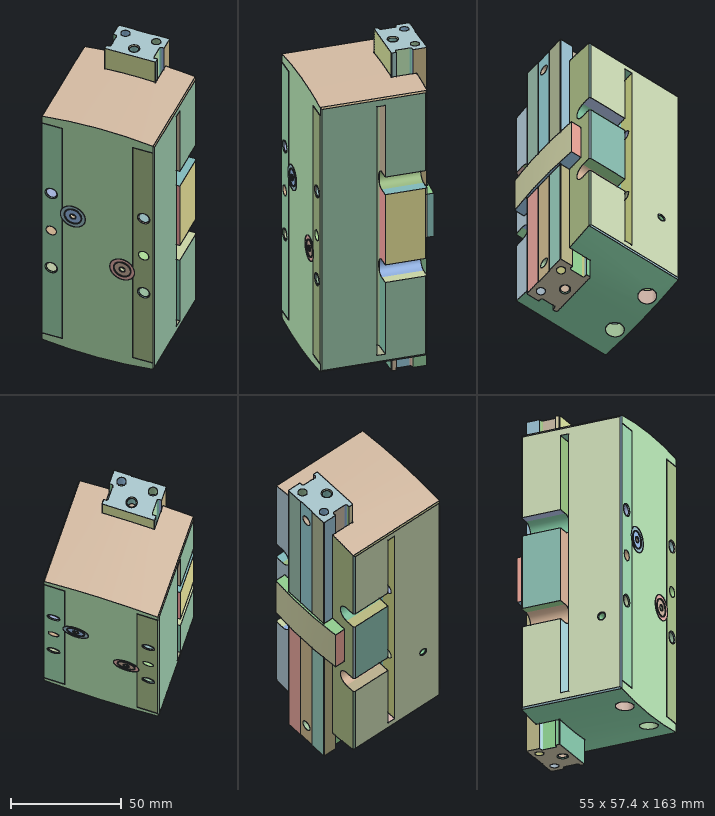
import cadquery as cq
import math


housing_width = 55.0
housing_height = 51.0
housing_length = 139.2
end_radius = 200.0
chamfer_angle = 30.0
chamfer_width = 0.5
chamfer_length = chamfer_width / math.tan(math.radians(chamfer_angle))

strip_inner_x = 17.2
strip_length = 127.4
strip_height = 0.15

groove_width = 4.0
groove_y = 29.0
groove_depth = 10.0

mount_x = 22.5
mount_z = 22.5
screw_dia = 5.1
screw_chamfer = 0.45
screw_slot_width = 9.0
screw_slot_floor_y = groove_y + groove_width / 2
dowel_dia = 5.0
dowel_depth = 10.0
drill_tip_angle = 118.0

side_hole_dia = 3.24
side_hole_mouth_dia = 4.0
side_hole_y = 10.2
side_hole_z = -30.0
side_hole_depth = 8.0

end_port_dia = 8.5
end_port_x = 12.0
end_port_y = 6.4
end_port_depth = 10.0

plug_dia = 12.1
plug_thickness = 3.0
plug_x = 12.0
plug_z = 12.0
plug_ring_outer_dia = 8.5
plug_ring_inner_dia = 8.0
plug_ring_depth = 0.3
plug_port_dia = 2.46
plug_port_mouth_dia = 3.0
plug_port_depth = 2.0

jaw_width = 25.0
jaw_bottom_y = 39.0
jaw_top_y = 56.1
jaw_end_z = 81.5
jaw_gap = 1.0
jaw_length = jaw_end_z - jaw_gap / 2
jaw_corner_chamfer = 0.3
jaw_relief_width = 8.0
jaw_relief_depth = 0.2
jaw_slot_low_y = 41.3
jaw_slot_high_y = 49.2
jaw_slot_depth = 2.0
jaw_slot_fillet = 0.8
finger_hole_dia = 4.13
finger_hole_x = 7.5
finger_hole_y = 51.9
finger_hole_depth = 10.0
centre_hole_dia = 4.13
centre_hole_mouth_dia = 5.1
centre_hole_y = 43.9
cross_bore_dia = 5.0
cross_bore_floor_y = 43.1
cross_bore_from_end = 10.0

cover_width = 42.0
cover_length = 22.2
cover_crown_y = 57.38
cover_edge_y = 56.4


def box_between(x_range, y_range, z_range):
    size = [high - low for low, high in (x_range, y_range, z_range)]
    return cq.Workplane("XY").box(*size, centered=False).translate((x_range[0], y_range[0], z_range[0]))


def drill(mouth, direction, diameter, depth, mouth_diameter=None):
    """Blind drilled hole: cylinder with a conical tip and an optional 45-degree countersink."""
    radius = diameter / 2
    tip = radius / math.tan(math.radians(drill_tip_angle / 2))
    start = cq.Vector(*mouth)
    along = cq.Vector(*direction)
    hole = cq.Solid.makeCylinder(radius, depth, start, along)
    hole = hole.fuse(cq.Solid.makeCone(radius, 0, tip, start + along * depth, along))
    if mouth_diameter:
        sink = (mouth_diameter - diameter) / 2
        hole = hole.fuse(cq.Solid.makeCone(mouth_diameter / 2, radius, sink, start, along))
    return cq.Workplane(obj=hole)


def strips():
    """The two raised strips: the inner edge slopes at 45 degrees, the outer edge is cut by the chamfer."""
    right_strip = (
        cq.Workplane("XY", origin=(0, 0, -strip_length / 2))
        .moveTo(strip_inner_x, 0)
        .lineTo(housing_width / 2, 0)
        .lineTo(housing_width / 2, strip_height)
        .lineTo(strip_inner_x - strip_height, strip_height)
        .close()
        .extrude(strip_length)
    )
    return [right_strip, right_strip.mirror("YZ")]


def housing_block():
    """Block with curved end faces, steep chamfers around its sides and the raised strips left standing."""
    half_width = housing_width / 2
    shoulder_x = half_width - chamfer_width
    crown_z = housing_length / 2
    shoulder_z = crown_z - (end_radius - math.sqrt(end_radius**2 - shoulder_x**2))
    side_z = shoulder_z - chamfer_length
    block = (
        cq.Workplane("XZ")
        .moveTo(-half_width, side_z)
        .lineTo(-shoulder_x, shoulder_z)
        .threePointArc((0, crown_z), (shoulder_x, shoulder_z))
        .lineTo(half_width, side_z)
        .lineTo(half_width, -side_z)
        .lineTo(shoulder_x, -shoulder_z)
        .threePointArc((0, -crown_z), (-shoulder_x, -shoulder_z))
        .lineTo(-half_width, -side_z)
        .close()
        .extrude(-housing_height)
    )
    cross_section = (
        cq.Workplane("XY", origin=(0, 0, -crown_z))
        .moveTo(-half_width, chamfer_length)
        .lineTo(-shoulder_x, 0)
        .lineTo(shoulder_x, 0)
        .lineTo(half_width, chamfer_length)
        .lineTo(half_width, housing_height - chamfer_length)
        .lineTo(shoulder_x, housing_height)
        .lineTo(-shoulder_x, housing_height)
        .lineTo(-half_width, housing_height - chamfer_length)
        .close()
        .extrude(housing_length)
    )
    face_relief = box_between((-half_width, half_width), (0, strip_height), (-crown_z, crown_z))
    for strip in strips():
        face_relief = face_relief.cut(strip)
    return block.intersect(cross_section).cut(face_relief)


def side_cuts(side):
    """Sensor groove, mounting holes and screw slots of one side: side is -1 for -X or 1 for +X."""
    outer_x = housing_width / 2
    floor_centre_x = outer_x - groove_depth + groove_width / 2
    rounded_floor = (
        cq.Workplane("XY", origin=(floor_centre_x, groove_y, -strip_length / 2))
        .circle(groove_width / 2)
        .extrude(strip_length)
    )
    cuts = box_between(
        (floor_centre_x, outer_x),
        (groove_y - groove_width / 2, groove_y + groove_width / 2),
        (-strip_length / 2, strip_length / 2),
    ).union(rounded_floor)
    for z in (-mount_z, mount_z):
        slot = (
            cq.Workplane("XZ", origin=(mount_x, screw_slot_floor_y, z))
            .circle(screw_slot_width / 2)
            .extrude(-(housing_height - screw_slot_floor_y))
        )
        mouth = box_between(
            (mount_x, outer_x),
            (screw_slot_floor_y, housing_height),
            (z - screw_slot_width / 2, z + screw_slot_width / 2),
        )
        screw = drill(
            (mount_x, 0, z), (0, 1, 0), screw_dia, screw_slot_floor_y,
            screw_dia + 2 * screw_chamfer,
        )
        cuts = cuts.union(slot).union(mouth).union(screw)
    cuts = cuts.union(drill((mount_x, 0, 0), (0, 1, 0), dowel_dia, dowel_depth))
    return cuts if side > 0 else cuts.mirror("YZ")


def make_housing():
    housing = housing_block()
    for side in (-1, 1):
        housing = housing.cut(side_cuts(side))
        housing = housing.cut(plug_blank(side))
        port_mouth = (side * end_port_x, end_port_y, -housing_length / 2)
        housing = housing.cut(drill(port_mouth, (0, 0, 1), end_port_dia, end_port_depth))
    housing = housing.cut(
        drill(
            (-housing_width / 2, side_hole_y, side_hole_z), (1, 0, 0),
            side_hole_dia, side_hole_depth, side_hole_mouth_dia,
        )
    )
    channel = box_between(
        (-jaw_width / 2, jaw_width / 2), (jaw_bottom_y, housing_height), (-jaw_end_z, jaw_end_z)
    )
    return housing.cut(channel)


def plug_blank(side):
    """Disc set into the mounting face, at -X +Z for side -1 and at +X -Z for side 1."""
    return (
        cq.Workplane("XZ", origin=(side * plug_x, 0, -side * plug_z))
        .circle(plug_dia / 2)
        .extrude(-plug_thickness)
    )


def make_plug(side):
    centre = (side * plug_x, 0, -side * plug_z)
    ring = (
        cq.Workplane("XZ", origin=centre)
        .circle(plug_ring_outer_dia / 2)
        .circle(plug_ring_inner_dia / 2)
        .extrude(-plug_ring_depth)
    )
    port = cq.Workplane("XZ", origin=centre).circle(plug_port_dia / 2).extrude(-plug_port_depth)
    sink = (plug_port_mouth_dia - plug_port_dia) / 2
    mouth = cq.Solid.makeCone(
        plug_port_mouth_dia / 2, plug_port_dia / 2, sink, cq.Vector(*centre), cq.Vector(0, 1, 0)
    )
    return plug_blank(side).cut(ring).cut(port).cut(cq.Workplane(obj=mouth))


def jaw_bar():
    """Plain bar of the upper jaw, with chamfered long edges, a shallow top relief and side slots."""
    half = jaw_width / 2
    z_range = (jaw_end_z - jaw_length, jaw_end_z)
    bar = (
        box_between((-half, half), (jaw_bottom_y, jaw_top_y), z_range)
        .edges("|Z")
        .chamfer(jaw_corner_chamfer)
    )
    relief = box_between(
        (-jaw_relief_width / 2, jaw_relief_width / 2),
        (jaw_top_y - jaw_relief_depth, jaw_top_y),
        z_range,
    )
    slot = (
        box_between((half - jaw_slot_depth, half), (jaw_slot_low_y, jaw_slot_high_y), z_range)
        .edges("|Z and <X")
        .fillet(jaw_slot_fillet)
    )
    return bar.cut(relief).cut(slot).cut(slot.mirror("YZ"))


def make_jaw(end):
    """Jaw with its finger holes, reaching to +Z for end 1 or to -Z for end -1."""
    jaw = jaw_bar()
    for x in (-finger_hole_x, finger_hole_x):
        jaw = jaw.cut(
            drill((x, finger_hole_y, jaw_end_z), (0, 0, -1), finger_hole_dia, finger_hole_depth)
        )
    bore_z = jaw_end_z - cross_bore_from_end
    centre_hole = drill(
        (0, centre_hole_y, jaw_end_z), (0, 0, -1), centre_hole_dia, cross_bore_from_end,
        centre_hole_mouth_dia,
    ).intersect(box_between((-jaw_width, jaw_width), (0, jaw_top_y), (bore_z, jaw_end_z)))
    cross_bore = (
        cq.Workplane("XZ", origin=(0, cross_bore_floor_y, bore_z))
        .circle(cross_bore_dia / 2)
        .extrude(-(jaw_top_y - cross_bore_floor_y))
    )
    jaw = jaw.cut(centre_hole).cut(cross_bore)
    return jaw if end > 0 else jaw.mirror("XY")


def make_cover():
    half = cover_width / 2
    cover = (
        cq.Workplane("XY", origin=(0, 0, -cover_length / 2))
        .moveTo(-half, housing_height)
        .lineTo(-half, cover_edge_y)
        .threePointArc((0, cover_crown_y), (half, cover_edge_y))
        .lineTo(half, housing_height)
        .close()
        .extrude(cover_length)
    )
    channel = box_between(
        (-jaw_width / 2, jaw_width / 2), (housing_height, jaw_top_y), (-cover_length, cover_length)
    )
    return cover.cut(channel)


housing = make_housing()
plugs = [make_plug(side) for side in (-1, 1)]
jaws = [make_jaw(end) for end in (-1, 1)]
cover = make_cover()
result = cq.Compound.makeCompound(
    [housing.val(), cover.val(), *(p.val() for p in plugs), *(j.val() for j in jaws)]
)